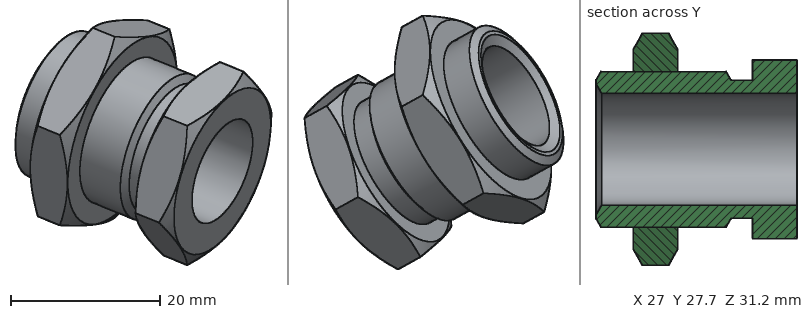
import cadquery as cq
import math

total_length = 27.0
bore_diameter = 14.95
thread_diameter = 20.95
neck_diameter = 18.65
thread_end = 18.15
thread_chamfer_angle = 30
bore_mouth_diameter = 17.6
bore_mouth_angle = 30

hex_thickness = 6.02
hex_chamfer_angle = 30
head_across_flats = 24.0
head_face_diameter = 23.82
nut_across_flats = 27.0
nut_face_diameter = 26.88
nut_start = 5.0

head_start = total_length - hex_thickness


def revolve_about_x(points):
    """Revolve a closed (x, radius) outline about the X axis."""
    return cq.Workplane("XY").polyline(points).close().revolve(360, (0, 0, 0), (1, 0, 0))


def chamfered_hexagon(start, across_flats, face_diameter, turn):
    """Hexagon with both ends of its corners turned conical; turn 0 puts two corners on Y."""
    corner_diameter = across_flats / math.cos(math.radians(30))
    prism = (
        cq.Workplane("YZ", origin=(start, 0, 0))
        .polygon(6, corner_diameter)
        .extrude(hex_thickness)
        .rotate((0, 0, 0), (1, 0, 0), turn)
    )
    face_radius = face_diameter / 2
    middle_radius = face_radius + hex_thickness / 2 / math.tan(math.radians(hex_chamfer_angle))
    end = start + hex_thickness
    cones = revolve_about_x([
        (start, 0),
        (start, face_radius),
        (start + hex_thickness / 2, middle_radius),
        (end, face_radius),
        (end, 0),
    ])
    return prism.intersect(cones)


def make_sleeve():
    """Threaded barrel with end chamfers and a narrower neck reaching the head."""
    thread_radius = thread_diameter / 2
    neck_radius = neck_diameter / 2
    chamfer = (thread_radius - neck_radius) * math.tan(math.radians(thread_chamfer_angle))
    return revolve_about_x([
        (0, 0),
        (0, neck_radius),
        (chamfer, thread_radius),
        (thread_end - chamfer, thread_radius),
        (thread_end, neck_radius),
        (head_start, neck_radius),
        (head_start, 0),
    ])


def make_bore():
    """Through bore with a conical mouth at the sleeve end."""
    bore_radius = bore_diameter / 2
    mouth_radius = bore_mouth_diameter / 2
    mouth_depth = (mouth_radius - bore_radius) * math.tan(math.radians(bore_mouth_angle))
    return revolve_about_x([
        (0, 0),
        (0, mouth_radius),
        (mouth_depth, bore_radius),
        (total_length, bore_radius),
        (total_length, 0),
    ])


def make_fitting():
    """Hollow fitting: threaded sleeve and hexagonal head in one piece."""
    head = chamfered_hexagon(head_start, head_across_flats, head_face_diameter, turn=0)
    return make_sleeve().union(head).cut(make_bore())


def make_locknut():
    """Hexagonal nut seated on the sleeve, with two corners on Z."""
    blank = chamfered_hexagon(nut_start, nut_across_flats, nut_face_diameter, turn=30)
    hole = (
        cq.Workplane("YZ", origin=(nut_start, 0, 0))
        .circle(thread_diameter / 2)
        .extrude(hex_thickness)
    )
    return blank.cut(hole)


fitting = make_fitting()
locknut = make_locknut()
result = cq.Compound.makeCompound([fitting.solids().val(), locknut.solids().val()])